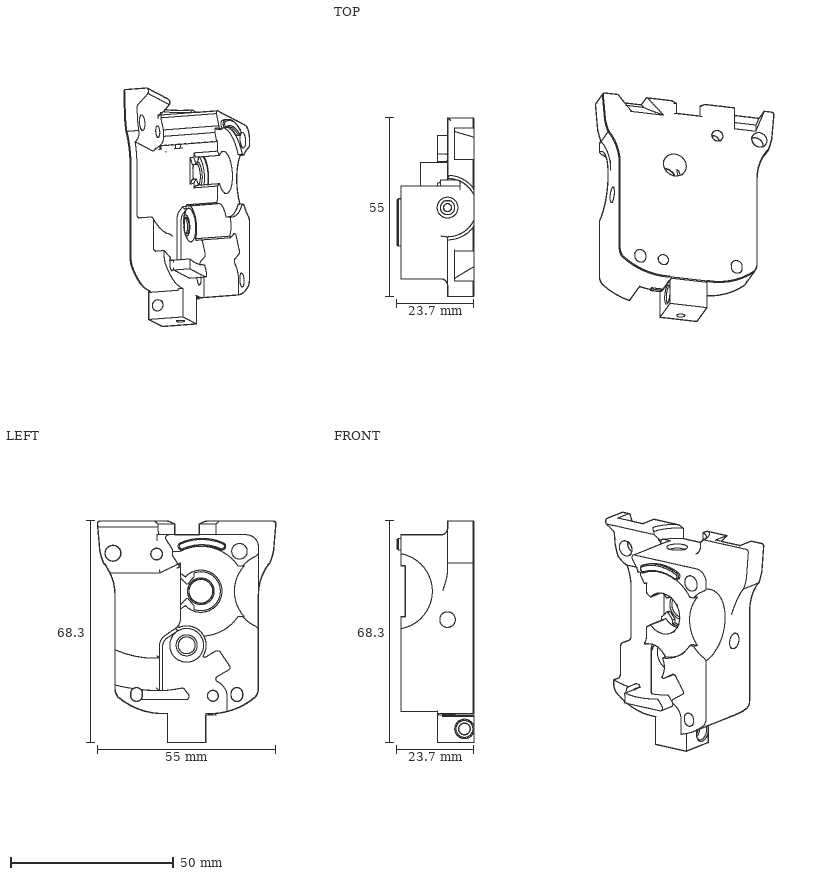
import cadquery as cq
import math


back_x = 22.6
recess_x = 1.37
tab_x = 6.0
collar_x = 9.2
collar_inner_x = 10.4
floor_x = 11.3
ledge_x = 14.8
wing_x = 14.4
wing_recess_x = 18.3
deep_x = 20.25

outside = 60.0
overrun = 1.0

half_body = 22.1
half_wing = 27.51
top_z = 21.67
block_top_z = 17.4
body_bottom_z = -37.7
wing_corner = 0.9
block_corner = 3.8
flare_radius = 2.0
back_bevel, back_inset = 0.4, 0.2

half_tongue = 5.93
tongue_bottom_z = -46.63
slit_height = 0.45
slit_x = 12.9
tongue_bevel = 0.45
tongue_hole_x, tongue_hole_z = 19.6, -42.4

clearance_radius = 9.0
clearance_bevel = 0.95
top_hole_x, top_hole_y = wing_x, -0.1

bore_y = -4.37
bore_diameter = 7.3
bore_mouth_diameter = 8.2
collar_radius = 6.5
collar_inner_radius = 6.0
recess_radius = 13.85
recess_tail_half = 7.8
recess_side_half = 12.2
seat_z = -16.65
seat_radius = 6.0

ball_radius = 12.1
ball_x, ball_y = -2.0, -26.3
ball_rim_depth = 0.7
ball_rim_width = 0.65

wall_y = 1.95
ledge_wall_y = 8.4
ledge_foot_z = -30.7
ledge_top_z = -18.0
lip_top_z = -28.85
pocket_fillet = 1.0

bend_z, corner_z = -10.4, -14.84
bend_radius, corner_radius = 3.3, 4.0
turn = math.atan2(ledge_wall_y - wall_y, bend_z - corner_z)
along_y, along_z = math.sin(turn), -math.cos(turn)
bend_run = bend_radius * math.tan(turn / 2)
corner_run = corner_radius * math.tan(turn / 2)
bend_start = (wall_y, bend_z + bend_run)
bend_end = (wall_y + bend_run * along_y, bend_z + bend_run * along_z)
corner_start = (ledge_wall_y - corner_run * along_y, corner_z - corner_run * along_z)
corner_end = (ledge_wall_y, corner_z - corner_run)

step_top_z = 9.0
step_bottom_z = 5.67
step_corner_y = 8.2
step_wall_z = 8.7


def yz(x=0.0):
    """Sketch plane at depth x: first coordinate is Y, second is Z, extruding toward +X."""
    return cq.Workplane("YZ", origin=(x, 0, 0))


def cylinder_x(y, z, radius, x_start, x_end):
    return yz(x_start).center(y, z).circle(radius).extrude(x_end - x_start)


def cone_x(y, z, radius_start, radius_end, x_start, x_end):
    return (
        yz(x_start).center(y, z).circle(radius_start)
        .workplane(offset=x_end - x_start).circle(radius_end).loft()
    )


def outline():
    """Winged outer shape, full depth, with the back edge bevelled."""
    arm_y, arm_z = 26.8, 12.45
    forearm_y, forearm_z = 26.6, 11.6
    shoulder_y, shoulder_z = 25.68, 8.7
    neck_y, neck_z = 24.95, 7.86
    waist_z, side_end_z = -1.3, -30.0
    corner_y, corner_z = 21.1, -32.7
    flat_half = 6.0
    waist_rise, waist_flare = neck_z - waist_z, neck_y - half_body
    waist_radius = (waist_rise**2 + waist_flare**2) / (2 * waist_flare)
    profile = (
        yz(back_x - back_bevel)
        .moveTo(0, top_z)
        .lineTo(half_wing - wing_corner, top_z)
        .radiusArc((half_wing, top_z - wing_corner), wing_corner)
        .lineTo(arm_y, arm_z)
        .lineTo(forearm_y, forearm_z)
        .tangentArcPoint((shoulder_y, shoulder_z), relative=False)
        .lineTo(neck_y, neck_z)
        .radiusArc((half_body, waist_z), -waist_radius)
        .lineTo(half_body, side_end_z)
        .tangentArcPoint((corner_y, corner_z), relative=False)
        .threePointArc((14.3, -36.55), (flat_half, body_bottom_z))
        .lineTo(0, body_bottom_z)
        .mirrorY()
    )
    bevel_angle = math.degrees(math.atan(back_inset / back_bevel))
    body = profile.extrude(-(back_x - back_bevel))
    return body.faces(">X").wires().toPending().extrude(back_bevel, taper=bevel_angle)


def block_on_slab():
    """Block standing on the wing slab, flared into it, trimmed to the outline."""
    slab = yz(wing_x).rect(3 * outside, 3 * outside).extrude(back_x - wing_x)
    block = (
        yz().moveTo(-half_body, -outside)
        .lineTo(-half_body, block_top_z - block_corner)
        .radiusArc((-half_body + block_corner, block_top_z), block_corner)
        .lineTo(outside / 2, block_top_z)
        .lineTo(outside / 2, -outside)
        .close().extrude(wing_x)
    )
    joined = slab.union(block)
    root = cq.selectors.BoxSelector(
        (wing_x - 0.1, -half_body - 1, -outside - 1),
        (wing_x + 0.1, outside / 2 - 1, block_top_z + 1),
    )
    return joined.edges(root).fillet(flare_radius).intersect(outline())


def top_clearance():
    """Round gap between the wings, bevelled at its upper rim."""
    bevel_z = top_z - clearance_bevel
    plane = cq.Workplane("XY", origin=(top_hole_x, top_hole_y, block_top_z))
    gap = plane.circle(clearance_radius).extrude(outside)
    rim = (
        cq.Workplane("XY", origin=(top_hole_x, top_hole_y, bevel_z))
        .circle(clearance_radius)
        .workplane(offset=clearance_bevel).circle(clearance_radius + clearance_bevel).loft()
    )
    return gap.union(rim)


def beyond_wall():
    """Everything on the +Y side of the block wall above the deep pocket floor."""
    wall_top_y, wall_top_round = 6.57, 1.1
    return (
        yz(-outside)
        .moveTo(wall_top_y - wall_top_round, block_top_z)
        .radiusArc((wall_top_y, block_top_z - wall_top_round), wall_top_round)
        .lineTo(4.4, 12.9).lineTo(4.3, 10.9).lineTo(2.6, 8.2)
        .threePointArc((2.1, 7.4), (wall_y, 6.5))
        .lineTo(wall_y, 0).lineTo(outside, 0).lineTo(outside, outside)
        .lineTo(wall_top_y - wall_top_round, outside)
        .close().extrude(2 * outside)
    )


def wing_recess():
    """Cuts the +Y wing back to its recessed face, leaving an undercut lip along the top."""
    lip_round = 1.1
    lip_nose_z, lip_nose_depth, lip_under_z = 20.3, 0.15, 19.7
    lip_end_y = 9.15
    cut_bottom_z = 1.0
    undercut = (
        cq.Workplane("XZ")
        .moveTo(-outside, outside).lineTo(wing_x + lip_round, outside)
        .lineTo(wing_x + lip_round, top_z)
        .radiusArc((wing_x, top_z - lip_round), -lip_round)
        .lineTo(wing_x, lip_nose_z).lineTo(wing_x + lip_nose_depth, lip_under_z)
        .lineTo(17.6, 16.9)
        .threePointArc((18.1, 16.35), (wing_recess_x, 15.6))
        .lineTo(wing_recess_x, cut_bottom_z).lineTo(-outside, cut_bottom_z)
        .close().extrude(-outside)
    )
    beside_lip = (
        cq.Workplane("XY", origin=(0, 0, cut_bottom_z)).center(wing_recess_x / 2, lip_end_y / 2)
        .rect(wing_recess_x, lip_end_y).extrude(block_top_z - cut_bottom_z)
    )
    return undercut.union(beside_lip).intersect(beyond_wall())


def step_roundover(start, end):
    """Rounded step from the recessed wing face to the deep floor along a YZ line."""
    rise = step_top_z - step_bottom_z
    depth = deep_x - wing_recess_x
    radius = (rise**2 + depth**2) / (2 * depth)
    direction = cq.Vector(0, end[0] - start[0], end[1] - start[1])
    end_overrun = 2.0
    plane = cq.Plane(origin=(0, start[0], start[1]), xDir=(1, 0, 0), normal=direction.toTuple())
    up = 1 if plane.yDir.z > 0 else -1
    return (
        cq.Workplane(plane)
        .moveTo(wing_recess_x, up * rise)
        .radiusArc((deep_x, 0), -up * radius)
        .lineTo(deep_x, -up).lineTo(0, -up).lineTo(0, up * rise)
        .close().extrude(direction.Length + end_overrun)
    )


def deep_pocket():
    """Deepest pocket on the +Y side, with a filleted floor edge."""
    return (
        yz(-outside)
        .moveTo(*bend_start).lineTo(wall_y, step_wall_z)
        .lineTo(step_corner_y, step_bottom_z).lineTo(outside, step_bottom_z)
        .lineTo(outside, ledge_top_z).lineTo(half_body, ledge_top_z)
        .threePointArc((16.0, -20.0), (ledge_wall_y, -20.6))
        .lineTo(*corner_end)
        .radiusArc(corner_start, -corner_radius)
        .lineTo(*bend_end)
        .radiusArc(bend_start, bend_radius)
        .close().extrude(outside + deep_x)
        .faces(">X").edges().fillet(pocket_fillet)
    )


def ledge_pocket():
    """Shallower pocket below the deep one, with a filleted floor edge."""
    return (
        yz(-outside)
        .moveTo(ledge_wall_y, ledge_top_z).lineTo(ledge_wall_y, ledge_foot_z)
        .threePointArc((16.4, -30.0), (half_body, lip_top_z))
        .lineTo(outside, lip_top_z).lineTo(outside, ledge_top_z)
        .close().extrude(outside + ledge_x)
        .faces(">X").edges().fillet(pocket_fillet)
    )


def lower_floor():
    """Lower front floor; its -Y edge steps in and out as a tooth."""
    ramp_y, ramp_z = 2.67, -10.8
    return (
        yz(-outside)
        .moveTo(ramp_y, ramp_z).lineTo(0, seat_z).lineTo(-5.1, -20.1).lineTo(-5.6, -20.4)
        .lineTo(-9.0, -18.4).lineTo(-10.1, -18.4)
        .lineTo(-13.1, -22.8).threePointArc((-13.35, -23.4), (-13.0, -24.1))
        .lineTo(-9.3, -26.4).threePointArc((-8.95, -27.0), (-9.4, -27.8))
        .threePointArc((-11.4, -29.4), (-12.45, -31.8))
        .lineTo(-12.45, -outside).lineTo(outside, -outside).lineTo(outside, ramp_z)
        .close().extrude(outside + floor_x)
    )


def floor_rim_rounding():
    """Material outside the rounded rim between the lower floor and the pocket wall."""
    path = (
        yz(floor_x).moveTo(ledge_wall_y, ledge_foot_z).lineTo(*corner_end)
        .radiusArc(corner_start, -corner_radius).lineTo(*bend_end)
    )
    return (
        cq.Workplane("XY", origin=(floor_x, ledge_wall_y, ledge_foot_z))
        .moveTo(-pocket_fillet, -pocket_fillet).lineTo(0, -pocket_fillet)
        .radiusArc((pocket_fillet, 0), -pocket_fillet)
        .lineTo(pocket_fillet, pocket_fillet).lineTo(-pocket_fillet, pocket_fillet)
        .close().sweep(path)
    )


def round_ledge_rim(body):
    """Rounds the upper rim of the ledge, beside the deep pocket."""
    margin = 0.1
    rim = cq.selectors.BoxSelector(
        (ledge_x - margin, ledge_wall_y, -22), (ledge_x + margin, half_body + 1, -17)
    )
    return body.edges(rim).fillet(pocket_fillet)


def tab():
    """Raised finger on the lower floor."""
    return (
        yz(tab_x)
        .moveTo(13.8, -30.3).threePointArc((7.4, -30.6), (1.6, -29.85))
        .threePointArc((0.95, -29.95), (0.6, -30.3))
        .lineTo(-0.55, -31.8).threePointArc((-0.65, -32.8), (0.4, -33.4))
        .lineTo(13.8, -33.4)
        .close().extrude(ledge_x - tab_x)
    )


def front_recess():
    """Shallow round recess around the bore, reaching the ball pocket and the +Y wall."""
    disc = cylinder_x(bore_y, 0, recess_radius, -outside, recess_x)
    tail_end_y, tail_start_y = -22.0, -12.0
    tail = (
        yz(-outside).center((tail_end_y + tail_start_y) / 2, 0)
        .rect(tail_start_y - tail_end_y, 2 * recess_tail_half).extrude(outside + recess_x)
    )
    side_width = 8.0
    side = (
        yz(-outside).center(side_width / 2, 0)
        .rect(side_width, 2 * recess_side_half).extrude(outside + recess_x)
    )
    return disc.union(tail).union(side)


def bore():
    """Main bore with a two-step collar pocket that opens toward the +Y wall."""
    mouth_depth = (bore_mouth_diameter - bore_diameter) / 2
    through = cylinder_x(bore_y, 0, bore_diameter / 2, -overrun, back_x + overrun)
    mouth = cone_x(
        bore_y, 0, bore_mouth_diameter / 2, bore_diameter / 2,
        collar_inner_x, collar_inner_x + mouth_depth,
    )
    collar = cylinder_x(bore_y, 0, collar_radius, 0, collar_x)
    opening = [(bore_y, 4.4), (0.33, 4.4), (3.0, 6.2)]
    opening += [(y, -z) for y, z in reversed(opening)]
    throat_y = -2.2
    inner = cylinder_x(bore_y, 0, collar_inner_radius, 0, collar_inner_x).cut(
        yz(-overrun).center(throat_y + outside / 2, 0).rect(outside, outside).extrude(outside)
    )
    throat = [(throat_y, 4.4), (-0.4, 2.3), (0.1, 2.3), (3.0, 5.2)]
    throat += [(y, -z) for y, z in reversed(throat)]
    inner = inner.union(yz().polyline(throat).close().extrude(collar_inner_x))
    cutter = through.union(mouth).union(collar).union(inner)
    return cutter.union(yz().polyline(opening).close().extrude(collar_x))


def seat():
    """Round seat with a conical pocket and a blind pin hole."""
    rim_radius, cone_radius, land_radius, pin_radius = 5.2, 4.5, 3.25, 2.6
    cone_start_x = floor_x + 0.3
    cone_end_x, pin_end_x = cone_start_x + 0.9, cone_start_x + 1.4
    cutter = cylinder_x(0, seat_z, seat_radius, -overrun, floor_x)
    cutter = cutter.union(cone_x(0, seat_z, rim_radius, cone_radius, floor_x, cone_start_x))
    cutter = cutter.union(cone_x(0, seat_z, cone_radius, land_radius, cone_start_x, cone_end_x))
    return cutter.union(cylinder_x(0, seat_z, pin_radius, cone_start_x, pin_end_x))


def ball_pocket():
    """Spherical pocket in the -Y side with a bevelled rim."""
    ball = cq.Workplane("XY", origin=(ball_x, ball_y, 0)).sphere(ball_radius)
    inner_y = -half_body + ball_rim_depth
    rim_radius = math.sqrt(ball_radius**2 - (inner_y - ball_y) ** 2)
    rim = (
        cq.Workplane("XZ", origin=(ball_x, inner_y, 0)).circle(rim_radius)
        .workplane(offset=ball_rim_depth).circle(rim_radius + ball_rim_width).loft()
    )
    return ball.union(rim)


def arc_rib():
    """Curved rib standing on the front face above the bore."""
    height, inner, outer, edge = 1.1, 14.0, 16.3, 0.35
    rib_y = bore_y - 0.3
    middle = (inner + outer) / 2
    half_angle = math.radians(24.0)

    def at(radius, angle):
        return (rib_y + radius * math.sin(angle), radius * math.cos(angle))

    end_angle = half_angle + (outer - inner) / 2 / middle
    rib = (
        yz(-height)
        .moveTo(*at(inner, -half_angle))
        .threePointArc(at(inner, 0), at(inner, half_angle))
        .threePointArc(at(middle, end_angle), at(outer, half_angle))
        .threePointArc(at(outer, 0), at(outer, -half_angle))
        .threePointArc(at(middle, -end_angle), at(inner, -half_angle))
        .close().extrude(height)
    )
    return rib.faces("<X").chamfer(edge)


def wing_pocket(inner_y, outer_y, front_depth, back_depth, outer_inset, inner_inset):
    """Pocket in the top of a wing, open to the back, its floor sloping and walls leaning inward."""
    front_x, foot_width = 16.5, 0.8
    side = 1 if outer_y > 0 else -1
    profile = (
        cq.Workplane("XZ")
        .moveTo(front_x, outside).lineTo(front_x, top_z - front_depth + foot_width)
        .lineTo(front_x + foot_width, top_z - front_depth)
        .lineTo(back_x + overrun, top_z - back_depth).lineTo(back_x + overrun, outside)
        .close().extrude(outside, both=True)
    )
    slope = (
        cq.Workplane("YZ", origin=(front_x, 0, 0))
        .moveTo(outer_y, top_z).lineTo(outer_y - side * outer_inset, top_z - back_depth)
        .lineTo(inner_y - side * inner_inset, top_z - back_depth).lineTo(inner_y, top_z)
        .close().extrude(outside)
    )
    return profile.intersect(slope)


def tongue():
    """Tongue under the body, separated from it by a slit behind its front web."""
    overlap = 3.0
    top = body_bottom_z + overlap
    bar = (
        yz(floor_x).center(0, (top + tongue_bottom_z) / 2)
        .rect(2 * half_tongue, top - tongue_bottom_z).extrude(back_x - floor_x)
    )
    slit_bottom = body_bottom_z - slit_height
    gap = (
        yz(slit_x).polyline([
            (half_tongue + overrun, body_bottom_z), (half_tongue + overrun, slit_bottom),
            (-half_tongue + tongue_bevel, slit_bottom), (-half_tongue, slit_bottom - tongue_bevel),
            (-half_tongue - overrun, slit_bottom - tongue_bevel), (-half_tongue - overrun, body_bottom_z),
        ]).close().extrude(outside)
    )
    foot_x, foot_y = 11.6, -9.0
    foot = (
        yz(foot_x).center((foot_y - half_tongue) / 2, (top + slit_bottom) / 2)
        .rect(-half_tongue - foot_y, top - slit_bottom).extrude(slit_x - foot_x)
    )
    return bar.cut(gap).union(foot)


def tongue_hole():
    """Cross hole through the tongue, counterbored and bevelled on the -Y side."""
    hole, counterbore, mouth, depth = 3.5, 5.2, 6.0, 3.0
    bevel = (mouth - counterbore) / 2
    plane = cq.Workplane("XZ", origin=(tongue_hole_x, -half_tongue, tongue_hole_z))
    cutter = plane.circle(hole / 2).extrude(-outside)
    cutter = cutter.union(plane.circle(counterbore / 2).extrude(-depth))
    rim = plane.circle(mouth / 2).workplane(offset=-bevel).circle(counterbore / 2).loft()
    return cutter.union(rim)


def top_screw_hole():
    """Countersunk hole from the block top, necking down to a narrow through hole."""
    sink, hole, neck, depth, neck_depth = 6.4, 4.4, 2.4, 10.0, 1.0
    sink_depth = (sink - hole) / 2
    plane = cq.Workplane("XY", origin=(top_hole_x, top_hole_y, block_top_z))
    cutter = plane.circle(neck / 2).extrude(-2 * outside)
    cutter = cutter.union(plane.circle(hole / 2).extrude(-depth))
    cutter = cutter.union(plane.circle(sink / 2).workplane(offset=-sink_depth).circle(hole / 2).loft())
    cone = (
        plane.workplane(offset=-depth).circle(hole / 2)
        .workplane(offset=-neck_depth).circle(neck / 2).loft()
    )
    return cutter.union(cone)


def front_holes():
    """Holes along X: through holes, upright slots and one blind pin hole."""
    round_holes = [(22.7, 11.7, 4.8), (9.25, 11.45, 3.5), (-8.07, -32.2, 3.3)]
    blind_y, blind_z, blind_diameter, blind_depth = -16.25, 12.3, 4.8, 8.0
    cutter = cylinder_x(blind_y, blind_z, blind_diameter / 2, -overrun, blind_depth)
    for y, z, diameter in round_holes:
        cutter = cutter.union(cylinder_x(y, z, diameter / 2, -overrun, back_x + overrun))
    slot_y, slot_z, slot_length, slot_width = 15.45, -31.8, 4.2, 3.5
    for side in (-1, 1):
        slot = yz(-overrun).center(side * slot_y, slot_z).slot2D(slot_length, slot_width, 90)
        cutter = cutter.union(slot.extrude(back_x + 2 * overrun))
    return cutter


def side_hole():
    """Blind pin hole in the -Y side."""
    depth, radius, z = 8.0, 2.4, -8.74
    return cq.Workplane("XZ", origin=(wing_x, -half_body, z)).circle(radius).extrude(-depth)


part = block_on_slab().union(tongue())
part = part.cut(top_clearance()).cut(wing_recess())
part = part.cut(lower_floor()).cut(deep_pocket())
step_corner = (step_corner_y, step_bottom_z)
part = part.cut(step_roundover((outside, step_bottom_z), step_corner))
part = part.cut(step_roundover((wall_y, step_wall_z), step_corner).intersect(beyond_wall()))
part = part.cut(ledge_pocket())
part = round_ledge_rim(part).cut(floor_rim_rounding()).union(tab())
part = part.cut(front_recess()).cut(ball_pocket()).cut(seat()).cut(bore())
part = part.cut(
    wing_pocket(14.75, 24.35, front_depth=3.2, back_depth=8.0, outer_inset=3.1, inner_inset=0.0)
)
part = part.cut(
    wing_pocket(-13.4, -22.75, front_depth=1.6, back_depth=6.1, outer_inset=5.1, inner_inset=6.1)
)
part = part.cut(top_screw_hole()).cut(tongue_hole()).cut(front_holes()).cut(side_hole())
result = part.union(arc_rib())